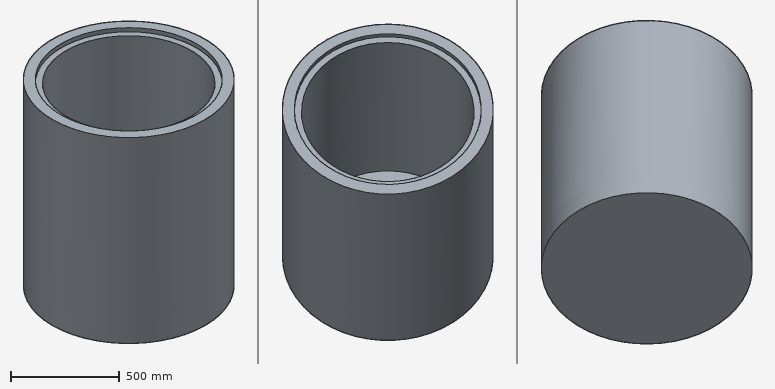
import cadquery as cq

height = 1143.0
outer_radius = 488.0

recess_radius = 432.0
recess_depth = 23.0

bore_radius = 399.0
base_thickness = 118.0

wall_height = height - base_thickness


def base_plinth():
    """Solid disc that closes the bottom of the vessel."""
    return cq.Workplane("XY").circle(outer_radius).extrude(base_thickness)


def wall():
    """Tubular wall standing on the base, with a recessed step at the mouth."""
    tube = (
        cq.Workplane("XY", origin=(0, 0, base_thickness))
        .circle(outer_radius)
        .circle(bore_radius)
        .extrude(wall_height)
    )
    recess = (
        cq.Workplane("XY", origin=(0, 0, height - recess_depth))
        .circle(recess_radius)
        .extrude(recess_depth)
    )
    return tube.cut(recess)


result = base_plinth().union(wall(), clean=False)